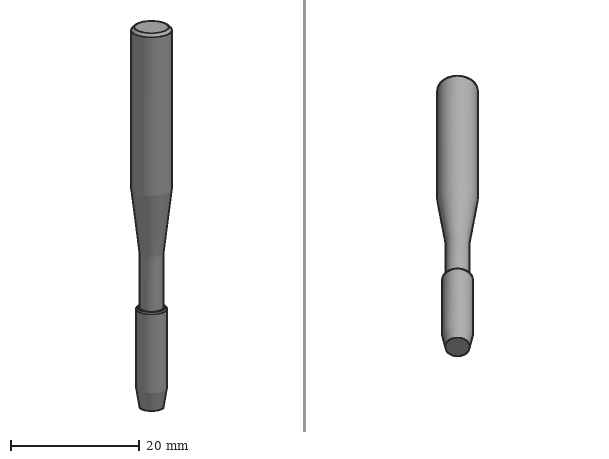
import cadquery as cq

total_length = 63.4

shank_diameter = 6.4
shank_chamfer = 0.5
grip_length = 26.95
taper_length = 10.7
neck_diameter = 3.8

head_length = 16.6
head_diameter = 4.9
head_chamfer = 0.25
tip_length = 3.25
tip_diameter = 3.8

grip_bottom = total_length - grip_length
neck_top = grip_bottom - taper_length
joint_height = head_length


def make_shank():
    """Revolve the upper body, which ends flat on the shoulder of the head."""
    grip_radius = shank_diameter / 2
    neck_radius = neck_diameter / 2
    return (
        cq.Workplane("XZ")
        .moveTo(0, joint_height)
        .lineTo(neck_radius, joint_height)
        .lineTo(neck_radius, neck_top)
        .lineTo(grip_radius, grip_bottom)
        .lineTo(grip_radius, total_length - shank_chamfer)
        .lineTo(grip_radius - shank_chamfer, total_length)
        .lineTo(0, total_length)
        .close()
        .revolve(360, (0, 0, 0), (0, 1, 0))
    )


def make_head():
    """Revolve the lower body, from the tip face up to the joint."""
    head_radius = head_diameter / 2
    return (
        cq.Workplane("XZ")
        .lineTo(tip_diameter / 2, 0)
        .lineTo(head_radius, tip_length)
        .lineTo(head_radius, joint_height - head_chamfer)
        .lineTo(head_radius - head_chamfer, joint_height)
        .lineTo(0, joint_height)
        .close()
        .revolve(360, (0, 0, 0), (0, 1, 0))
    )


shank = make_shank()
head = make_head()

result = cq.Compound.makeCompound([shank.val(), head.val()])